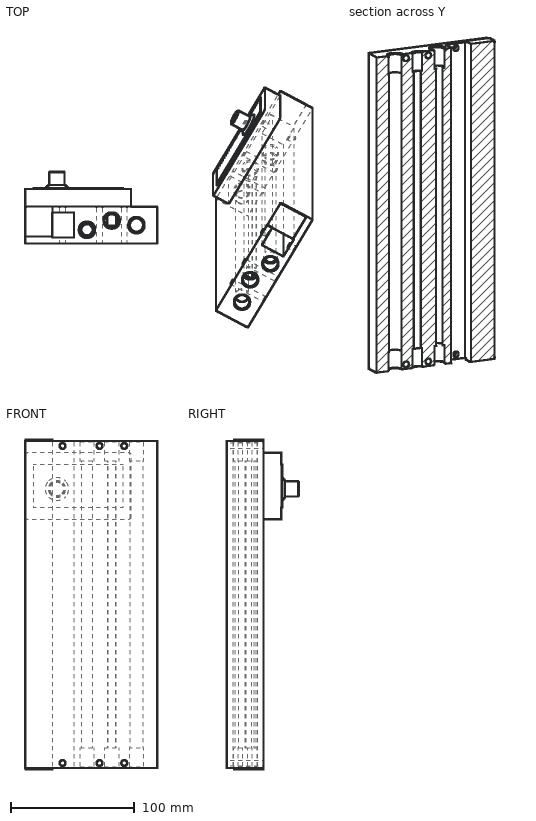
import cadquery as cq


width = 106.8
block_depth = 30.0
total_length = 267.0
strip_overhang = 1.2
block_length = total_length - 2 * strip_overhang
block_edge_radius = 0.5

strip_inset = 0.3
strip_right = 22.0
strip_front = 6.0

duct_width = 17.4
duct_front = 5.0
duct_back = 25.0

cross_hole_diameter = 4.5
cross_hole_inset = 4.0
cross_hole_xs = (30.2, 60.0, 80.0)

port_stagger = 3.7
side_port_y = block_depth / 2
low_port = (50.0, side_port_y - port_stagger)
high_port = (70.0, side_port_y + port_stagger)
side_port = (90.0, side_port_y)
port_diameter = 11.5
port_mouth_diameter = 13.4
port_mouth_depth = (port_mouth_diameter - port_diameter) / 2
port_depth = 16.0

low_passage_diameter = 9.0
side_passage_diameter = 10.7
high_passage_diameter = 10.1
high_passage_width = 7.2
high_passage_drop = 4.0

box_width = 85.7
box_height = 54.0
box_depth = 14.5
box_edge_radius = 2.1
box_top_gap = 10.7
box_back = block_depth + box_depth
box_mid_z = total_length / 2 - box_top_gap - box_height / 2

plate_width = 72.0
plate_height = 34.7
plate_thickness = 0.8

total_depth = 58.5
connector_x = 25.5
connector_z = 93.5
connector_diameter = 12.5
connector_chamfer = 0.8
collar_base_diameter = 18.7
collar_tip_diameter = 14.0
collar_height = 2.1


def box_between(x_range, y_range, z_range):
    """Box spanning the given (low, high) ranges."""
    sizes = [high - low for low, high in (x_range, y_range, z_range)]
    corner = (x_range[0], y_range[0], z_range[0])
    return cq.Workplane("XY").box(*sizes, centered=False).translate(corner)


def centred(middle, size):
    """Range of the given size about its middle."""
    return (middle - size / 2, middle + size / 2)


def make_block():
    block = box_between((0, width), (0, block_depth), centred(0, block_length))
    strip = box_between((strip_inset, strip_right), (strip_front, block_depth), centred(0, total_length))
    block = block.edges("|Z").fillet(block_edge_radius)
    strip = strip.edges("|Z and <X and >Y").fillet(block_edge_radius)
    return block.union(strip)


def make_duct():
    x_range = (strip_right, strip_right + duct_width)
    return box_between(x_range, (duct_front, duct_back), centred(0, total_length))


def make_cross_holes():
    hole_z = block_length / 2 - cross_hole_inset
    points = [(x, side * hole_z) for x in cross_hole_xs for side in (-1, 1)]
    holes = cq.Workplane("XZ").pushPoints(points)
    return holes.circle(cross_hole_diameter / 2).extrude(-block_depth)


def make_port(centre):
    """Round port with a countersunk mouth, sunk from the top end."""
    top = cq.Workplane("XY", origin=(*centre, block_length / 2))
    bore = top.circle(port_diameter / 2).extrude(-port_depth)
    mouth = top.circle(port_mouth_diameter / 2).workplane(offset=-port_mouth_depth)
    return bore.union(mouth.circle(port_diameter / 2).loft(combine=True))


def make_ports():
    upper = make_port(low_port).union(make_port(high_port)).union(make_port(side_port))
    return upper.union(upper.mirror("XY"))


def round_passage(centre, diameter):
    """Round bore over the whole block length."""
    return cq.Workplane("XY").center(*centre).circle(diameter / 2).extrude(block_length / 2, both=True)


def make_passages():
    """Narrower passages joining each port to the one opposite; the high one has three flat sides."""
    x, y = high_port
    flats = box_between(
        centred(x, high_passage_width),
        (y - high_passage_drop, y + high_passage_diameter / 2),
        centred(0, block_length),
    )
    high_passage = round_passage(high_port, high_passage_diameter).intersect(flats)
    low_passage = round_passage(low_port, low_passage_diameter)
    side_passage = round_passage(side_port, side_passage_diameter)
    return low_passage.union(high_passage).union(side_passage)


def make_connection_box():
    box = box_between(
        (0, box_width),
        (block_depth, box_back),
        centred(box_mid_z, box_height),
    )
    box = box.edges("|Y").fillet(box_edge_radius)
    plate = box_between(
        centred(box_width / 2, plate_width),
        (box_back, box_back + plate_thickness),
        centred(box_mid_z, plate_height),
    )
    return box.union(plate)


def make_connector():
    base_y = box_back + plate_thickness
    base = cq.Workplane("XZ", origin=(connector_x, base_y, connector_z))
    collar = base.circle(collar_base_diameter / 2).workplane(offset=-collar_height)
    collar = collar.circle(collar_tip_diameter / 2).loft(combine=True)
    stud = base.circle(connector_diameter / 2).extrude(base_y - total_depth)
    return collar.union(stud.faces(">Y").chamfer(connector_chamfer))


result = make_block()
for cutter in (make_duct(), make_cross_holes(), make_ports(), make_passages()):
    result = result.cut(cutter)
result = result.union(make_connection_box()).union(make_connector())